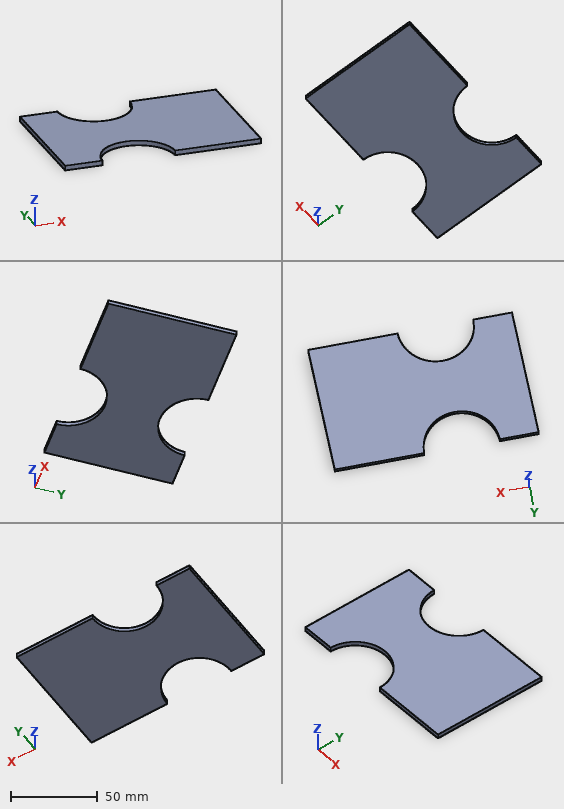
import cadquery as cq

plate_length = 119.7
plate_width = 77.5
plate_thickness = 3.0

notch_radius = 22.1
notch_from_left = 45.0

plate = cq.Workplane("XY").box(plate_length, plate_width, plate_thickness)

notch_x = notch_from_left - plate_length / 2
notch_centres = [(notch_x, side * plate_width / 2) for side in (-1, 1)]
notches = (
    cq.Workplane("XY", origin=(0, 0, -plate_thickness / 2))
    .pushPoints(notch_centres)
    .circle(notch_radius)
    .extrude(plate_thickness)
)

result = plate.cut(notches)